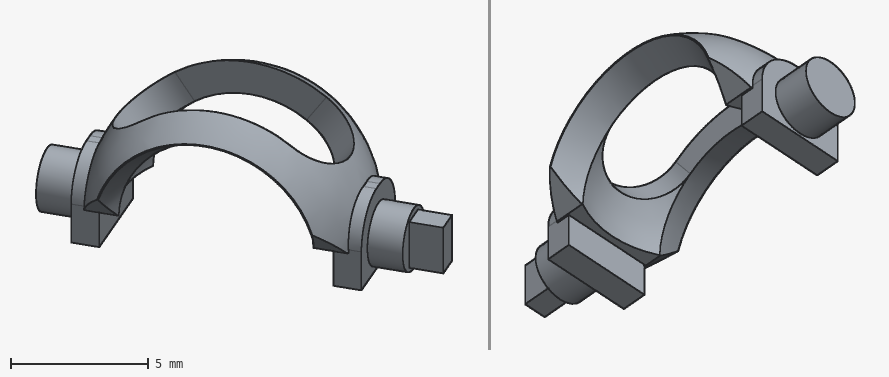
import cadquery as cq
import math

outer_radius = 5.44
inner_radius = 4.22
yoke_width = 6.5
base_z = 0.1
rim_radius = 4.31
bevel_start = 1.99

window_width = 3.91
window_tilt = 35

lug_inner_x = 4.5
lug_outer_x = 5.57
lug_width = 3.85
lug_bottom_z = -1.39
lug_height = 3.34
lug_corner_radius = 1.72

pin_diameter = 2.5
left_pin_end_x = -7.16
right_pin_end_x = 6.93
overall_length = 15.4
tang_width = 1.0
tang_height = 1.91

half_width = yoke_width / 2
window_radius = window_width / 2
cutter_length = 2 * outer_radius


def make_shell():
    """Upper part of the shell, trimmed to the yoke width."""
    shell = cq.Workplane("XY").sphere(outer_radius).cut(cq.Workplane("XY").sphere(inner_radius))
    envelope = cq.Workplane("XY").box(
        cutter_length, yoke_width, outer_radius, centered=(True, True, False)
    )
    return shell.intersect(envelope.translate((0, 0, base_z)))


def make_mouths():
    """Double cone along Y that flares the inside from the window edges to the rims."""
    throat_y = window_radius
    throat_radius = math.sqrt(inner_radius**2 - throat_y**2)
    return (
        cq.Workplane("XY")
        .polyline([
            (0, -half_width),
            (rim_radius, -half_width),
            (throat_radius, -throat_y),
            (throat_radius, throat_y),
            (rim_radius, half_width),
            (0, half_width),
        ])
        .close()
        .revolve(360, (0, 0, 0), (0, 1, 0))
    )


def make_bevel_cutters():
    """Prisms under both Y sides, sloping up at 45 degrees from the base."""
    rise = half_width - bevel_start
    cutter = (
        cq.Workplane("YZ")
        .polyline([(bevel_start, base_z), (half_width, base_z), (half_width, base_z + rise)])
        .close()
        .extrude(outer_radius, both=True)
    )
    return cutter.union(cutter.mirror("XZ"))


def make_window_cutter():
    """Two radial cylinders leaning apart, joined by a straight-sided wedge."""
    tilt = math.radians(window_tilt)
    reach_x = cutter_length * math.sin(tilt)
    reach_z = cutter_length * math.cos(tilt)
    cutter = (
        cq.Workplane("XZ")
        .polyline([(0, 0), (reach_x, reach_z), (-reach_x, reach_z)])
        .close()
        .extrude(window_radius, both=True)
    )
    for side in (-1, 1):
        direction = cq.Vector(side * math.sin(tilt), 0, math.cos(tilt))
        end = cq.Solid.makeCylinder(window_radius, cutter_length, cq.Vector(0, 0, 0), direction)
        cutter = cutter.union(cq.Workplane("XY").add(end))
    return cutter


def make_lug():
    """Lug on the +X side with both upper corners rounded."""
    return (
        cq.Workplane("XY")
        .box(lug_outer_x - lug_inner_x, lug_width, lug_height, centered=(False, True, False))
        .edges("|X and >Z")
        .fillet(lug_corner_radius)
        .translate((lug_inner_x, 0, lug_bottom_z))
    )


def make_pin(start_x, end_x):
    """Round pin along X."""
    return (
        cq.Workplane("YZ", origin=(start_x, 0, 0))
        .circle(pin_diameter / 2)
        .extrude(end_x - start_x)
    )


def make_tang():
    """Flat drive tang beyond the right pin."""
    tang_end_x = left_pin_end_x + overall_length
    return (
        cq.Workplane("YZ", origin=(right_pin_end_x, 0, 0))
        .rect(tang_width, tang_height)
        .extrude(tang_end_x - right_pin_end_x)
    )


yoke = make_shell().cut(make_mouths()).cut(make_bevel_cutters()).cut(make_window_cutter())
lug = make_lug()

result = (
    yoke.union(lug)
    .union(lug.mirror("YZ"))
    .union(make_pin(-lug_outer_x, left_pin_end_x))
    .union(make_pin(lug_outer_x, right_pin_end_x))
    .union(make_tang())
)